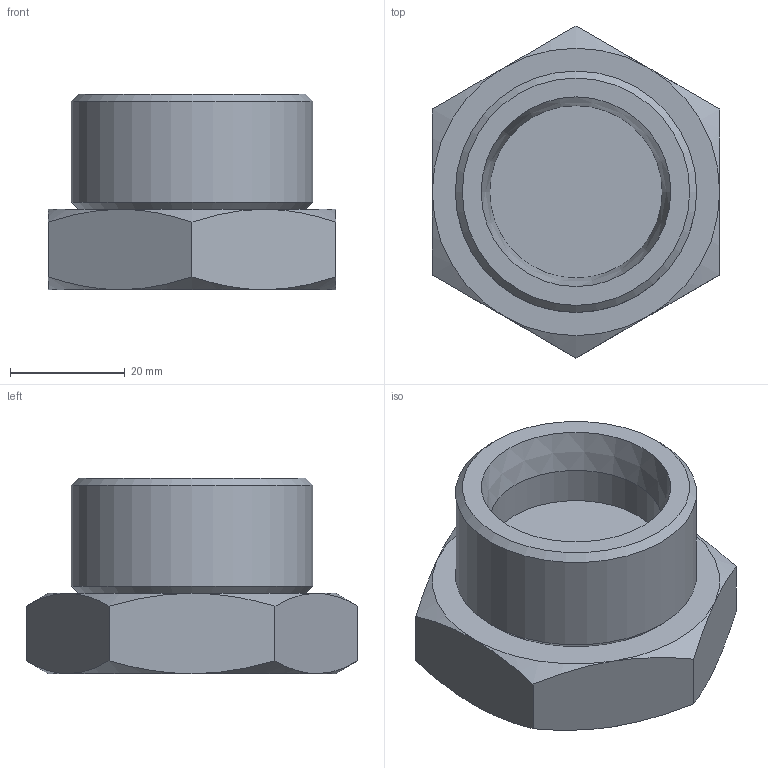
import cadquery as cq
import math

HEX_SIDES = 6
HEX_ACROSS_FLATS = 50.0
HEX_HEIGHT = 14.0
HEX_CHAMFER_ANGLE = 30.0
CORNER_CLEARANCE = 1.0

TOTAL_HEIGHT = 34.0
SPIGOT_DIAMETER = 42.0
THREAD_PITCH = 2.0
THREAD_DEPTH_RATIO = 0.6134

MOUTH_DIAMETER = 33.0
SOCKET_DIAMETER = 30.0
SOCKET_DEPTH = 13.5
CONE_HALF_ANGLE = 12.0

half_side_angle = 180 / HEX_SIDES
hex_across_corners = HEX_ACROSS_FLATS / math.cos(math.radians(half_side_angle))
spigot_chamfer = THREAD_DEPTH_RATIO * THREAD_PITCH
cone_depth = (MOUTH_DIAMETER - SOCKET_DIAMETER) / 2 / math.tan(math.radians(CONE_HALF_ANGLE))


def revolve_profile(points):
    """Revolve a closed (radius, height) outline about the Z axis."""
    return cq.Workplane("XZ").polyline(points).close().revolve(360, (0, 0), (0, 1))


def make_hex_head():
    """Hexagonal prism with its corners turned off conically at both ends."""
    prism = (
        cq.Workplane("XY")
        .polygon(HEX_SIDES, hex_across_corners)
        .extrude(HEX_HEIGHT)
        .rotate((0, 0, 0), (0, 0, 1), half_side_angle)
    )
    end_radius = HEX_ACROSS_FLATS / 2
    outer_radius = hex_across_corners / 2 + CORNER_CLEARANCE
    drop = (outer_radius - end_radius) * math.tan(math.radians(HEX_CHAMFER_ANGLE))
    envelope = revolve_profile([
        (0, 0),
        (end_radius, 0),
        (outer_radius, drop),
        (outer_radius, HEX_HEIGHT - drop),
        (end_radius, HEX_HEIGHT),
        (0, HEX_HEIGHT),
    ])
    return prism.intersect(envelope)


def make_spigot():
    """Cylinder on top of the head, chamfered at 45 degrees at both ends."""
    return (
        cq.Workplane("XY")
        .workplane(offset=HEX_HEIGHT)
        .circle(SPIGOT_DIAMETER / 2)
        .extrude(TOTAL_HEIGHT - HEX_HEIGHT)
        .edges()
        .chamfer(spigot_chamfer)
    )


def make_socket():
    """Blind bore from the top face, opening out in a cone at the mouth."""
    floor = TOTAL_HEIGHT - SOCKET_DEPTH
    return revolve_profile([
        (0, floor),
        (SOCKET_DIAMETER / 2, floor),
        (SOCKET_DIAMETER / 2, TOTAL_HEIGHT - cone_depth),
        (MOUTH_DIAMETER / 2, TOTAL_HEIGHT),
        (0, TOTAL_HEIGHT),
    ])


result = make_hex_head().union(make_spigot()).cut(make_socket())